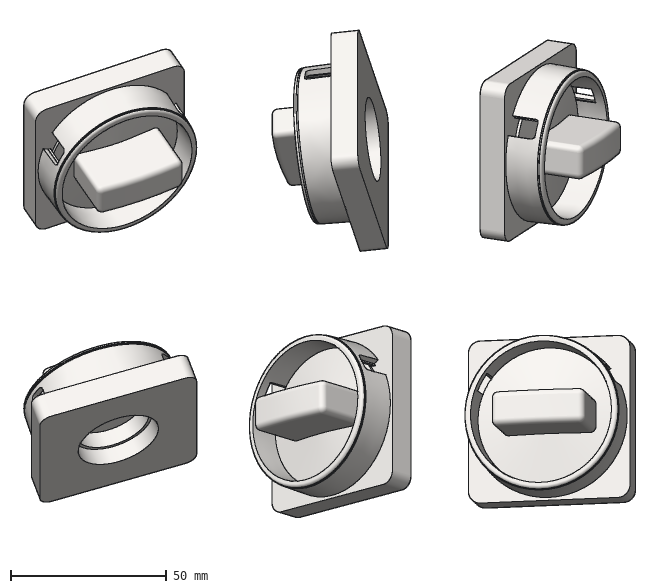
import cadquery as cq
import math

plate_side = 53.3
plate_thickness = 8.8
plate_corner_radius = 4.0
plate_bore_diameter = 27.2

ring_base_diameter = 51.45
ring_rim_diameter = 50.85
ring_inner_base_diameter = 45.7
ring_inner_rim_diameter = 46.45
ring_end_x = 21.45
ring_edge_radius = 1.0
ring_lip_diameter = 50.6
seam_floor_diameter = 50.35
seam_start_x = 19.95

window_end_x = 18.1
window_width = 6.6
window_corner_radius = 1.45
window_angles_deg = (30.4, 150.9)
window_step_diameter = 47.5
inner_slot_bottom_z = 8.4
inner_slot_top_z = 14.0

dish_start_x = 10.2
dish_rim_end_x = 11.2
dish_apex_x = 13.85
dish_overlap = 0.1
sleeve_start_x = 5.75
sleeve_outer_diameter = 26.65
sleeve_inner_diameter = 24.5
pocket_floor_edge_x = 11.55
pocket_floor_apex_x = 12.8

grip_top_y = 16.1
grip_bottom_y = -14.5
grip_thickness = 11.25
grip_end_x = 31.3
grip_crown_radius = 117.2
grip_edge_radius = 1.95


def revolve_about_x(profile):
    """Close an outline drawn as (x, radius) and revolve it about the X axis."""
    return profile.close().revolve(360, (0, 0, 0), (1, 0, 0))


def make_plate():
    plate = cq.Workplane("YZ").rect(plate_side, plate_side).extrude(plate_thickness)
    plate = plate.edges("|X").fillet(plate_corner_radius)
    bore = cq.Workplane("YZ").circle(plate_bore_diameter / 2).extrude(plate_thickness)
    return plate.cut(bore)


def make_ring():
    lip_radius = ring_lip_diameter / 2
    seam_floor_radius = seam_floor_diameter / 2
    edge_start_x = ring_end_x - ring_edge_radius
    edge_center_radius = lip_radius - ring_edge_radius
    arc_middle_offset = ring_edge_radius * math.sqrt(0.5)
    profile = (
        cq.Workplane("XY")
        .moveTo(plate_thickness, ring_inner_base_diameter / 2)
        .lineTo(plate_thickness, ring_base_diameter / 2)
        .lineTo(seam_start_x, ring_rim_diameter / 2)
        .lineTo(seam_start_x, seam_floor_radius)
        .lineTo(edge_start_x, seam_floor_radius)
        .lineTo(edge_start_x, lip_radius)
        .threePointArc(
            (edge_start_x + arc_middle_offset, edge_center_radius + arc_middle_offset),
            (ring_end_x, edge_center_radius),
        )
        .lineTo(ring_end_x, ring_inner_rim_diameter / 2)
    )
    return revolve_about_x(profile)


def make_outer_window(angle):
    """Radial cutter for the outer part of the wall, at an angle from +Y towards +Z."""
    length = window_end_x - plate_thickness
    cutter = cq.Workplane("XY").box(length, plate_side, window_width, centered=(False, False, True))
    cutter = cutter.edges(">X and |Y").fillet(window_corner_radius)
    cutter = cutter.translate((plate_thickness, 0, 0)).rotate((0, 0, 0), (1, 0, 0), angle)
    core = cq.Workplane("YZ").circle(window_step_diameter / 2).extrude(ring_end_x)
    return cutter.cut(core)


def make_inner_slot():
    """Level slot along Y that continues both windows through the inner part of the wall."""
    length = window_end_x - plate_thickness
    height = inner_slot_top_z - inner_slot_bottom_z
    slot = cq.Workplane("XY").box(length, plate_side, height, centered=(False, True, False))
    slot = slot.translate((plate_thickness, 0, inner_slot_bottom_z))
    core = cq.Workplane("YZ").circle(window_step_diameter / 2).extrude(ring_end_x)
    return slot.intersect(core)


def make_dish():
    rim_radius = ring_inner_base_diameter / 2 + dish_overlap
    dish = revolve_about_x(
        cq.Workplane("XY")
        .moveTo(dish_start_x, 0)
        .lineTo(dish_start_x, rim_radius)
        .lineTo(dish_rim_end_x, rim_radius)
        .lineTo(dish_apex_x, 0)
    )
    sleeve = (
        cq.Workplane("YZ", origin=(sleeve_start_x, 0, 0))
        .circle(sleeve_outer_diameter / 2)
        .extrude(dish_start_x - sleeve_start_x)
    )
    return dish.union(sleeve)


def make_pocket():
    """Round space inside the sleeve, ending in a conical floor."""
    radius = sleeve_inner_diameter / 2
    return revolve_about_x(
        cq.Workplane("XY")
        .moveTo(sleeve_start_x, 0)
        .lineTo(sleeve_start_x, radius)
        .lineTo(pocket_floor_edge_x, radius)
        .lineTo(pocket_floor_apex_x, 0)
    )


def crown_x(y):
    """X position of the crowned end of the grip at a given Y."""
    return grip_end_x - grip_crown_radius + math.sqrt(grip_crown_radius**2 - y**2)


def make_grip():
    grip = (
        cq.Workplane("XY")
        .moveTo(dish_start_x, grip_bottom_y)
        .lineTo(crown_x(grip_bottom_y), grip_bottom_y)
        .threePointArc((grip_end_x, 0), (crown_x(grip_top_y), grip_top_y))
        .lineTo(dish_start_x, grip_top_y)
        .close()
        .extrude(grip_thickness / 2, both=True)
    )
    return grip.edges("not <X").fillet(grip_edge_radius)


ring = make_ring().cut(make_inner_slot())
for window_angle in window_angles_deg:
    ring = ring.cut(make_outer_window(window_angle))

knob = make_dish().union(make_grip()).cut(make_pocket())
result = make_plate().union(ring).union(knob)